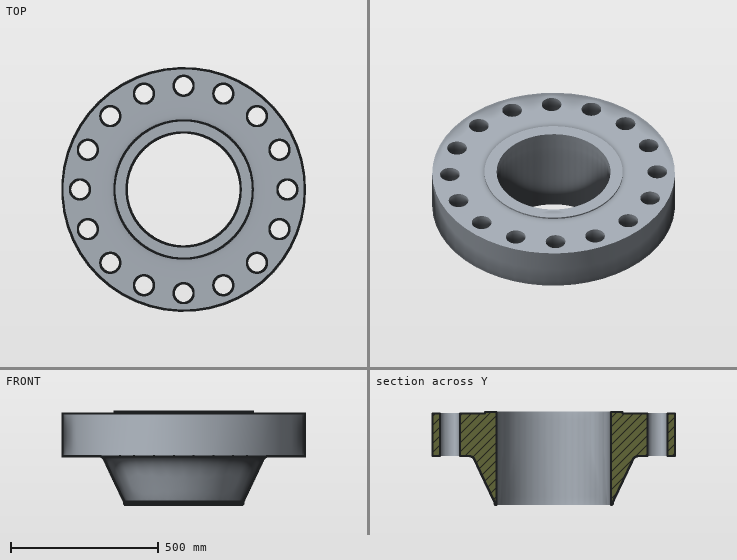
import cadquery as cq
import math

flange_diameter = 825.5
total_height = 318.0
bore_diameter = 387.0

face_diameter = 470.5
face_height = 6.0
flange_thickness = 146.0

hub_top_radius = 271.0
hub_fillet_radius = 18.0
hub_fillet_drop = 10.0
neck_radius = 203.0
neck_height = 13.0
bevel_width = 5.0
bevel_height = 7.0

bolt_count = 16
bolt_circle_diameter = 705.0
bolt_hole_diameter = 67.0

flange_top = total_height - face_height
flange_bottom = flange_top - flange_thickness
hub_top = flange_bottom - hub_fillet_drop

taper = (hub_top_radius - neck_radius) / (hub_top - neck_height)
hub_root_radius = hub_top_radius + taper * hub_fillet_drop


def make_body():
    """Revolve the outer half profile about Z and round the hub root."""
    body = (
        cq.Workplane("XZ")
        .moveTo(0, 0)
        .lineTo(neck_radius - bevel_width, 0)
        .lineTo(neck_radius, bevel_height)
        .lineTo(neck_radius, neck_height)
        .lineTo(hub_root_radius, flange_bottom)
        .lineTo(flange_diameter / 2, flange_bottom)
        .lineTo(flange_diameter / 2, flange_top)
        .lineTo(face_diameter / 2, flange_top)
        .lineTo(face_diameter / 2, total_height)
        .lineTo(0, total_height)
        .close()
        .revolve(360, (0, 0, 0), (0, 1, 0))
    )
    root_circumference = 2 * math.pi * hub_root_radius
    root_edge = body.edges("%CIRCLE").filter(
        lambda edge: math.isclose(edge.Length(), root_circumference, rel_tol=1e-4)
    )
    return root_edge.fillet(hub_fillet_radius)


def make_bore():
    return cq.Workplane("XY").circle(bore_diameter / 2).extrude(total_height)


def make_bolt_holes():
    """Ring of through holes, with the first one on +X."""
    return (
        cq.Workplane("XY")
        .polarArray(bolt_circle_diameter / 2, 0, 360, bolt_count)
        .circle(bolt_hole_diameter / 2)
        .extrude(total_height)
    )


result = make_body().cut(make_bore()).cut(make_bolt_holes())